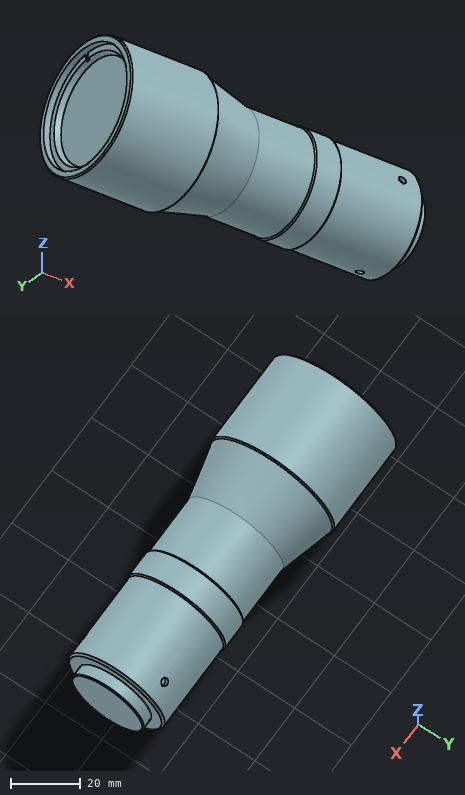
import cadquery as cq
import math

LENGTH = 114.4
HEAD_END = 32.0
TAPER_END = 50.2
RING_START = 70.6
RING_END = 80.3
BODY_END = 110.3

HEAD_RADIUS = 22.02
BODY_RADIUS = 17.0
RING_RADIUS = 17.5
MOUNT_RADIUS = 12.7

SMALL_CHAMFER = 0.5
BODY_CHAMFER = 0.7
MOUNT_CHAMFER = 0.3

STEP_RADIUS = 19.8
STEP_DEPTH = 2.3
SEAT_RADIUS = 17.8
LENS_RADIUS = 17.0
LENS_DEPTH = 4.2

SLOT_WIDTH = 1.1
SLOT_DEPTH = 0.6
SLOT_ANGLE = 7.0

SCREW_X = 103.1
SCREW_RADIUS = 1.3
SCREW_DEPTH = 1.4
SCREW_COUNT = 3
SCREW_START_ANGLE = 43.5


def cylinder(start, end, radius):
    """Solid cylinder along X between two stations."""
    return cq.Workplane("YZ").workplane(offset=start).circle(radius).extrude(end - start)


def cone(start, end, start_radius, end_radius):
    """Solid truncated cone along X between two stations."""
    outline = [(start, 0), (start, start_radius), (end, end_radius), (end, 0)]
    return cq.Workplane("XY").polyline(outline).close().revolve(360, (0, 0, 0), (1, 0, 0))


def make_barrel():
    head = cylinder(0, HEAD_END, HEAD_RADIUS).edges().chamfer(SMALL_CHAMFER)
    taper = cone(HEAD_END, TAPER_END, HEAD_RADIUS - SMALL_CHAMFER, BODY_RADIUS)
    body = cylinder(TAPER_END, BODY_END, BODY_RADIUS).edges(">X").chamfer(BODY_CHAMFER)
    ring = cylinder(RING_START, RING_END, RING_RADIUS).edges().chamfer(RING_RADIUS - BODY_RADIUS)
    mount = cylinder(BODY_END, LENGTH, MOUNT_RADIUS).edges(">X").chamfer(MOUNT_CHAMFER)
    return head.union(taper).union(body).union(ring).union(mount)


def make_front_recess():
    step = cylinder(0, STEP_DEPTH, STEP_RADIUS)
    seat = cone(STEP_DEPTH, LENS_DEPTH, SEAT_RADIUS, LENS_RADIUS)
    return step.union(seat)


def make_spanner_slots():
    """Opposed slots across the step, leaving the lens face untouched."""
    bar = cq.Workplane("XY").box(SLOT_DEPTH, SLOT_WIDTH, 2 * STEP_RADIUS)
    bar = bar.translate((STEP_DEPTH + SLOT_DEPTH / 2, 0, 0))
    bar = bar.rotate((0, 0, 0), (1, 0, 0), -SLOT_ANGLE)
    return bar.intersect(cylinder(0, LENS_DEPTH, STEP_RADIUS))


def make_screw_hole(angle):
    outward = cq.Vector(0, math.cos(math.radians(angle)), math.sin(math.radians(angle)))
    floor = cq.Vector(SCREW_X, 0, 0) + outward * (BODY_RADIUS - SCREW_DEPTH)
    return cq.Workplane(cq.Solid.makeCylinder(SCREW_RADIUS, 2 * SCREW_DEPTH, floor, outward))


result = make_barrel().cut(make_front_recess()).cut(make_spanner_slots())
for index in range(SCREW_COUNT):
    result = result.cut(make_screw_hole(SCREW_START_ANGLE + index * 360 / SCREW_COUNT))